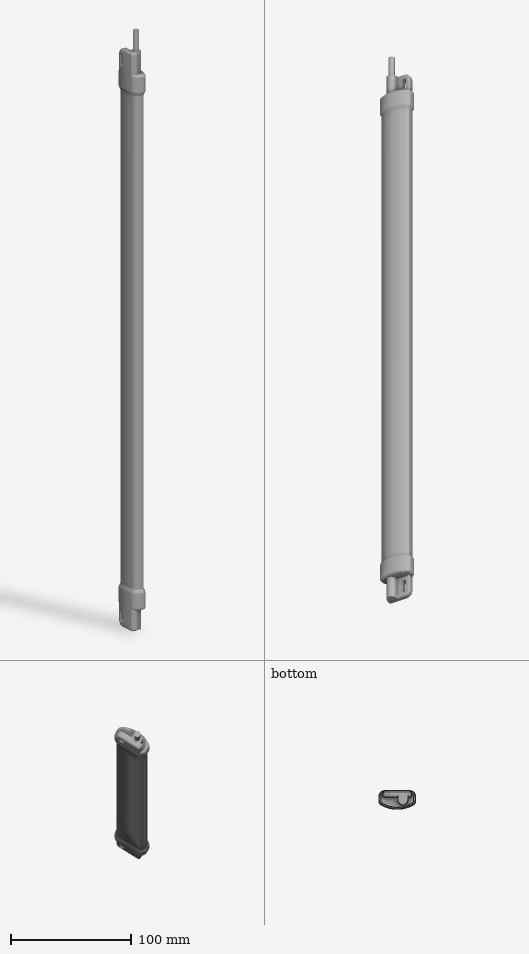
import cadquery as cq

total_length = 518.0
cable_length = 18.0
tab_length = 18.5
sleeve_length = 18.0
top_end = total_length - cable_length

tube_width = 27.5
tube_front = -6.0
tube_crown = 6.0
crown_edge = 2.0
front_corner_radius = 3.9
back_corner_radius = 2.5

cap_wall = 1.5
lip_height = 3.0
lip_edge_radius = 2.5
shoulder_radius = 2.0
cap_front = tube_front - cap_wall

tab_width = 23.5
tab_thickness = 5.5
rooted_length = tab_length + sleeve_length / 2
slot_side_corner_radius = 5.0
plain_corner_radius = 2.0
tab_back_radius = 1.3
tab_front_radius = tab_width / 2 - (tube_width / 2 - front_corner_radius)
slot_width = 4.5
slot_length = 11.5
slot_x = -6.0
slot_from_tab_end = 10.0
slot_angle = 90

cable_diameter = 5.0
boss_diameter = 8.5
cable_x = 4.5


def tube_bar(length):
    """Bar with the tube's cross-section, standing on Z = 0."""
    half_width = tube_width / 2
    return (
        cq.Workplane("XY")
        .moveTo(-half_width, tube_front)
        .lineTo(half_width, tube_front)
        .lineTo(half_width, crown_edge)
        .threePointArc((0, tube_crown), (-half_width, crown_edge))
        .close()
        .extrude(length)
        .edges("|Z")
        .edges("<Y")
        .fillet(front_corner_radius)
        .edges("|Z")
        .edges(">Y")
        .fillet(back_corner_radius)
    )


def sleeve():
    """Sleeve around the tube, standing on Z = tab_length, with a rounded, bevelled lip on top."""
    tube_wire = tube_bar(sleeve_length).faces("<Z").wires().val()
    outer_wire = tube_wire.offset2D(cap_wall)[0]
    straight_height = sleeve_length - lip_height
    straight = cq.Workplane(cq.Solid.extrudeLinear(outer_wire, [], cq.Vector(0, 0, straight_height)))
    lip = cq.Solid.makeLoft(
        [
            outer_wire.moved(cq.Location(cq.Vector(0, 0, straight_height))),
            tube_wire.moved(cq.Location(cq.Vector(0, 0, sleeve_length))),
        ],
        True,
    )
    body = straight.union(cq.Workplane(lip))
    lip_edge = cq.selectors.BoxSelector(
        (-tube_width, -tube_width, straight_height - cap_wall / 2),
        (tube_width, tube_width, straight_height + cap_wall / 2),
    )
    body = body.edges(lip_edge).fillet(lip_edge_radius)
    body = body.faces("<Z").edges().fillet(shoulder_radius)
    return body.translate((0, 0, tab_length))


def mounting_tab():
    """Flat slotted plate from Z = 0 up into the sleeve, flush with the sleeve's front."""
    plate = (
        cq.Workplane("XY")
        .box(tab_width, tab_thickness, rooted_length, centered=(True, False, False))
        .translate((0, cap_front, 0))
    )
    plate = plate.edges("|Y").edges("<Z").edges("<X").fillet(slot_side_corner_radius)
    plate = plate.edges("|Y").edges("<Z").fillet(plain_corner_radius)
    plate = plate.faces("<Y").edges("not >Z").fillet(tab_front_radius)
    plate = plate.faces(">Y").edges("not >Z").fillet(tab_back_radius)
    slot = (
        cq.Workplane("XZ", origin=(slot_x, cap_front + tab_thickness, slot_from_tab_end))
        .slot2D(slot_length, slot_width, slot_angle)
        .extrude(tab_thickness)
    )
    return plate.cut(slot)


def cable_boss():
    """Boss with a half-round back, merging straight into the tab in front of it."""
    radius = boss_diameter / 2
    tab_middle = cap_front + tab_thickness / 2
    return (
        cq.Workplane("XY")
        .moveTo(cable_x + radius, 0)
        .threePointArc((cable_x, radius), (cable_x - radius, 0))
        .lineTo(cable_x - radius, tab_middle)
        .lineTo(cable_x + radius, tab_middle)
        .close()
        .extrude(rooted_length)
    )


def end_cap():
    """Complete cap with its outer end on Z = 0 and its sleeve facing up."""
    return sleeve().union(mounting_tab()).union(cable_boss())


cap = end_cap()
top_cap = cap.mirror("XY").translate((0, 0, top_end))
tube = tube_bar(top_end - 2 * tab_length).translate((0, 0, tab_length))
cable = (
    cq.Workplane("XY", origin=(cable_x, 0, top_end))
    .circle(cable_diameter / 2)
    .extrude(cable_length)
)

result = tube.union(cap).union(top_cap).union(cable)